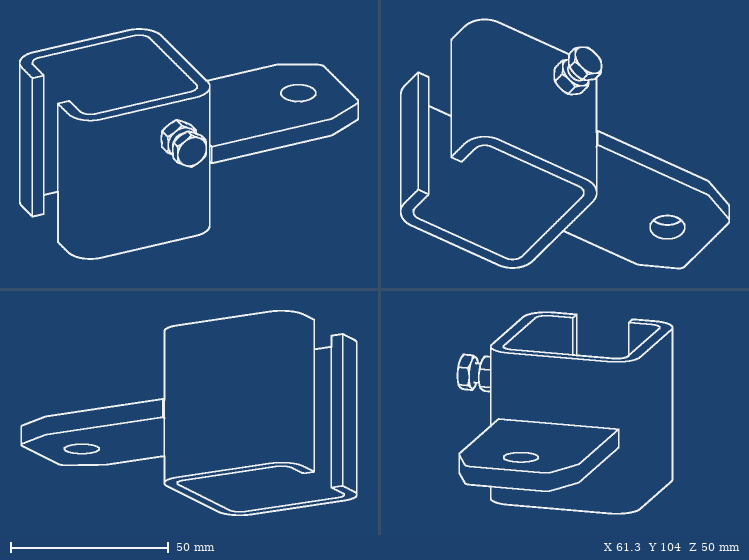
import cadquery as cq
import math

channel_width = 49.2
channel_depth = 49.0
channel_height = 50.0
wall = 4.1
bend_radius = 7.8
slot_width = 18.5

overall_length = 104.0
plate_width = 39.8
plate_thickness = 6.0
taper_width = 6.2
taper_length = 12.8
plate_corner_radius = 2.5
hole_diameter = 11.0
hole_edge_distance = 15.0

overall_width = 61.3
bolt_drop = 12.0
bolt_setback = 15.0
hex_across_flats = 10.0
nut_length = 5.0
head_length = 3.8
shank_diameter = 6.1
neck_fillet = 0.6
hex_bevel_radial = 0.7
hex_bevel_axial = 0.4

bolt_y = -bolt_setback
bolt_z = channel_height / 2 - bolt_drop


def make_channel():
    outer = (
        cq.Workplane("XY")
        .box(channel_width, channel_depth, channel_height)
        .edges("|Z")
        .fillet(bend_radius)
    )
    cavity = (
        cq.Workplane("XY")
        .box(channel_width - 2 * wall, channel_depth - 2 * wall, channel_height)
        .edges("|Z")
        .fillet(bend_radius - wall)
    )
    slot = (
        cq.Workplane("XY")
        .box(slot_width, channel_depth / 2, channel_height, centered=(True, False, True))
        .translate((0, -channel_depth / 2, 0))
    )
    return outer.cut(cavity).cut(slot).translate((0, -channel_depth / 2, 0))


def make_plate():
    tip = overall_length - channel_depth
    shoulder = tip - taper_length
    half_width = plate_width / 2
    half_tip = half_width - taper_width
    outline = [
        (-half_width, 0),
        (half_width, 0),
        (half_width, shoulder),
        (half_tip, tip),
        (-half_tip, tip),
        (-half_width, shoulder),
    ]
    plate = cq.Workplane("XY").polyline(outline).close().extrude(plate_thickness)
    plate = plate.translate((0, 0, -plate_thickness / 2))
    plate = plate.edges("|Z").edges("not <Y").fillet(plate_corner_radius)
    hole = (
        cq.Workplane("XY", origin=(0, tip - hole_edge_distance, -plate_thickness / 2))
        .circle(hole_diameter / 2)
        .extrude(plate_thickness)
    )
    return plate.cut(hole)


def make_hex(x_start, length):
    """Hexagon with corners up and down, both ends bevelled by a cone."""
    corner_radius = hex_across_flats / math.sqrt(3)
    corners = [
        (
            corner_radius * math.cos(math.radians(90 + 60 * i)),
            corner_radius * math.sin(math.radians(90 + 60 * i)),
        )
        for i in range(6)
    ]
    prism = (
        cq.Workplane("YZ", origin=(x_start, bolt_y, bolt_z))
        .polyline(corners)
        .close()
        .extrude(length)
    )
    face_radius = corner_radius - hex_bevel_radial
    envelope = (
        cq.Workplane("XZ", origin=(x_start, bolt_y, bolt_z))
        .polyline([
            (0, 0),
            (0, face_radius),
            (hex_bevel_axial, corner_radius),
            (length - hex_bevel_axial, corner_radius),
            (length, face_radius),
            (length, 0),
        ])
        .close()
        .revolve(360, (0, 0), (1, 0))
    )
    return prism.intersect(envelope)


def make_bolt():
    wall_outside = channel_width / 2
    wall_inside = wall_outside - wall
    head_start = overall_width - channel_width / 2 - head_length
    shank_radius = shank_diameter / 2
    nut = make_hex(wall_outside, nut_length)
    head = make_hex(head_start, head_length)
    shank_length = head_start - wall_inside
    flare_middle = (
        shank_length - neck_fillet * (1 - math.sqrt(0.5)),
        shank_radius + neck_fillet * (1 - math.sqrt(0.5)),
    )
    shank = (
        cq.Workplane("XZ", origin=(wall_inside, bolt_y, bolt_z))
        .moveTo(0, 0)
        .lineTo(0, shank_radius)
        .lineTo(shank_length - neck_fillet, shank_radius)
        .threePointArc(flare_middle, (shank_length, shank_radius + neck_fillet))
        .lineTo(shank_length, 0)
        .close()
        .revolve(360, (0, 0), (1, 0))
    )
    return shank.union(nut).union(head)


result = make_channel().union(make_plate()).union(make_bolt())